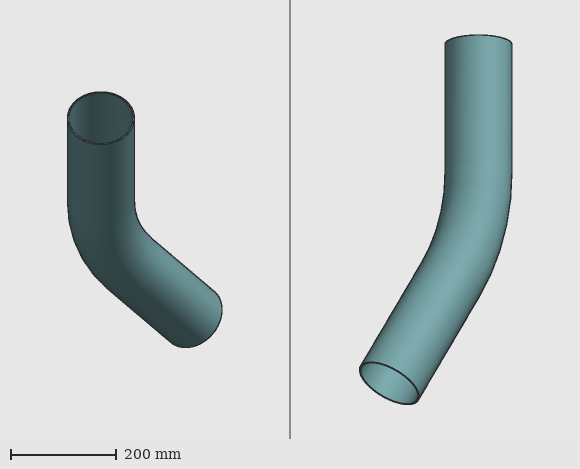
import cadquery as cq
import math

outer_diameter = 127.0
inner_diameter = 121.0
leg_length = 252.5
bend_radius = 437.0
bend_angle = 30

angle = math.radians(bend_angle)
bend_end_y = bend_radius * (1 - math.cos(angle))
bend_end_z = -bend_radius * math.sin(angle)
lower_end_y = bend_end_y + leg_length * math.sin(angle)
lower_end_z = bend_end_z - leg_length * math.cos(angle)

centreline = (
    cq.Workplane("YZ")
    .moveTo(0, leg_length)
    .lineTo(0, 0)
    .tangentArcPoint((bend_end_y, bend_end_z), relative=False)
    .lineTo(lower_end_y, lower_end_z)
)

result = (
    cq.Workplane("XY", origin=(0, 0, leg_length))
    .circle(outer_diameter / 2)
    .circle(inner_diameter / 2)
    .sweep(centreline)
)